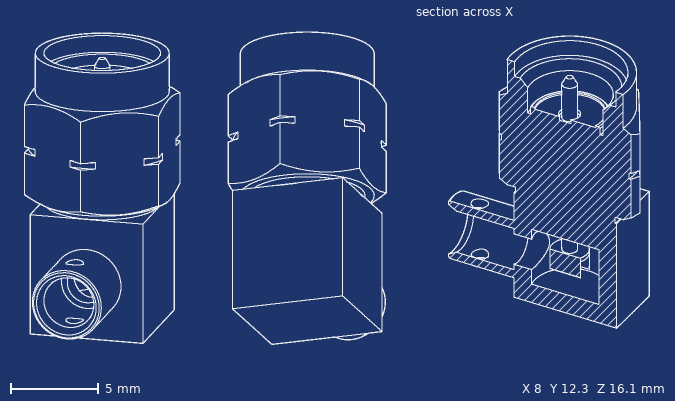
import cadquery as cq
import math


total_height = 16.15
overall_depth = 12.27

body_side = 6.72
body_height = 7.17
neck_radius = 3.31
cavity_radius = 2.26
cavity_floor_z = 1.3
cavity_roof_z = 5.0

nut_bottom_z = 7.56
hex_top_z = 13.84
hex_across_flats = 8.0
hex_corner_radius = hex_across_flats / math.sqrt(3)
collar_radius = 3.85
hex_turn = 30
hex_chamfer_angle = math.radians(30)
hex_chamfer_height = (hex_corner_radius - collar_radius) * math.tan(hex_chamfer_angle)
groove_radius = 4.25
groove_width = 0.39
groove_z = (nut_bottom_z + hex_top_z) / 2

mouth_radius = 3.35
mouth_depth = 1.0
funnel_top_radius = 2.99
funnel_bottom_radius = 2.5
funnel_depth = 0.5
socket_floor_z = 12.92
ferrule_radius = 2.34
ferrule_top_z = 13.44
ferrule_chamfer = 0.1
insulator_radius = 2.07
insulator_recess = 0.11

pin_radius = 0.45
pin_tip_radius = 0.2
pin_top_z = 15.83
pin_taper_length = 0.47
pin_clearance_radius = 0.63
pin_clearance_depth = 0.25
solder_end_radius = 1.13
solder_end_above_axis = 0.76
solder_end_below_axis = 0.6
solder_slot_width = 1.03
solder_slot_above_axis = 0.5

barrel_z = 3.31
barrel_radius = 2.05
barrel_end_y = hex_corner_radius - overall_depth
barrel_chamfer = 0.1
bore_radius = 1.49
bore_mouth_radius = 1.78
bore_mouth_depth = 0.53
wire_hole_radius = 1.15
side_hole_radius = 0.5
side_hole_y = -5.88

body_front_y = -body_side / 2


def rod(radius, bottom_z, top_z):
    """Vertical cylinder on the nut axis."""
    return cq.Workplane("XY", origin=(0, 0, bottom_z)).circle(radius).extrude(top_z - bottom_z)


def turned(profile):
    """Solid of revolution about Z from (radius, z) points."""
    return cq.Workplane("XZ").polyline(profile).close().revolve(360, (0, 0, 0), (0, 1, 0))


def make_hex_nut():
    hexagon = (
        cq.Workplane("XY", origin=(0, 0, nut_bottom_z))
        .polygon(6, 2 * hex_corner_radius)
        .extrude(hex_top_z - nut_bottom_z)
        .rotate((0, 0, 0), (0, 0, 1), hex_turn)
    )
    chamfer_envelope = turned([
        (0, nut_bottom_z),
        (collar_radius, nut_bottom_z),
        (hex_corner_radius, nut_bottom_z + hex_chamfer_height),
        (hex_corner_radius, hex_top_z - hex_chamfer_height),
        (collar_radius, hex_top_z),
        (0, hex_top_z),
    ])
    groove_bottom_z = groove_z - groove_width / 2
    groove_top_z = groove_z + groove_width / 2
    groove = rod(hex_across_flats, groove_bottom_z, groove_top_z).cut(
        rod(groove_radius, groove_bottom_z, groove_top_z)
    )
    collar = rod(collar_radius, hex_top_z, total_height)
    return hexagon.intersect(chamfer_envelope).cut(groove).union(collar)


def make_socket():
    """Void of the nut: wide mouth, funnel, then a straight bore."""
    funnel_top_z = total_height - mouth_depth
    funnel_bottom_z = funnel_top_z - funnel_depth
    return turned([
        (0, total_height),
        (mouth_radius, total_height),
        (mouth_radius, funnel_top_z),
        (funnel_top_radius, funnel_top_z),
        (funnel_bottom_radius, funnel_bottom_z),
        (funnel_bottom_radius, socket_floor_z),
        (0, socket_floor_z),
    ])


def make_ferrule():
    """Chamfered tube end with the insulator recessed in it and a clearance around the pin."""
    ferrule = rod(ferrule_radius, socket_floor_z, ferrule_top_z).faces(">Z").chamfer(ferrule_chamfer)
    insulator_top_z = ferrule_top_z - insulator_recess
    recess = rod(insulator_radius, insulator_top_z, ferrule_top_z)
    clearance = rod(pin_clearance_radius, insulator_top_z - pin_clearance_depth, ferrule_top_z)
    return ferrule.cut(recess).cut(clearance)


def make_contact():
    """Pin with a tapered tip and an enlarged, slotted solder end in the body cavity."""
    solder_bottom_z = barrel_z - solder_end_below_axis
    solder_top_z = barrel_z + solder_end_above_axis
    contact = turned([
        (0, solder_bottom_z),
        (solder_end_radius, solder_bottom_z),
        (solder_end_radius, solder_top_z),
        (pin_radius, solder_top_z),
        (pin_radius, pin_top_z - pin_taper_length),
        (pin_tip_radius, pin_top_z),
        (0, pin_top_z),
    ])
    slot_height = solder_end_below_axis + solder_slot_above_axis
    slot = cq.Workplane("XY", origin=(0, 0, solder_bottom_z)).box(
        solder_slot_width, 2 * solder_end_radius, slot_height, centered=(True, True, False)
    )
    return contact.cut(slot)


def make_barrel():
    barrel_length = body_front_y - barrel_end_y
    return (
        cq.Workplane("XZ", origin=(0, body_front_y, barrel_z))
        .circle(barrel_radius)
        .extrude(barrel_length)
        .faces("<Y")
        .chamfer(barrel_chamfer)
    )


def make_barrel_voids():
    """Flared bore, the smaller wire hole into the cavity, and the vertical cross hole."""
    bore = (
        cq.Workplane("XY", origin=(0, 0, barrel_z))
        .polyline([
            (0, barrel_end_y),
            (bore_mouth_radius, barrel_end_y),
            (bore_radius, barrel_end_y + bore_mouth_depth),
            (bore_radius, body_front_y),
            (wire_hole_radius, body_front_y),
            (wire_hole_radius, 0),
            (0, 0),
        ])
        .close()
        .revolve(360, (0, 0, 0), (0, 1, 0))
    )
    cross_hole = (
        cq.Workplane("XY", origin=(0, side_hole_y, barrel_z))
        .circle(side_hole_radius)
        .extrude(barrel_radius, both=True)
    )
    return bore.union(cross_hole)


body = cq.Workplane("XY").box(body_side, body_side, body_height, centered=(True, True, False))
neck = rod(neck_radius, body_height, nut_bottom_z)
cavity = rod(cavity_radius, cavity_floor_z, cavity_roof_z)

housing = body.union(neck).union(make_hex_nut()).union(make_barrel())
housing = housing.cut(make_socket()).cut(cavity).cut(make_barrel_voids())

result = housing.union(make_ferrule()).union(make_contact())